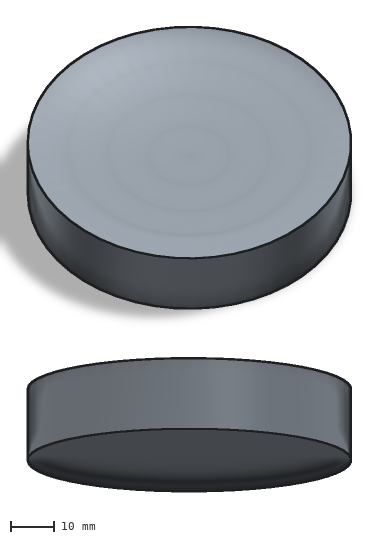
import cadquery as cq
import math

disc_diameter = 75.0
centre_thickness = 12.0
sphere_radius = 150.0
rim_width = 0.2

dish_radius = disc_diameter / 2 - rim_width
dish_depth = sphere_radius - math.sqrt(sphere_radius**2 - dish_radius**2)
disc_height = centre_thickness + dish_depth

disc = cq.Workplane("XY").circle(disc_diameter / 2).extrude(disc_height)

sphere = cq.Workplane("XY").sphere(sphere_radius).translate((0, 0, centre_thickness + sphere_radius))

result = disc.cut(sphere)